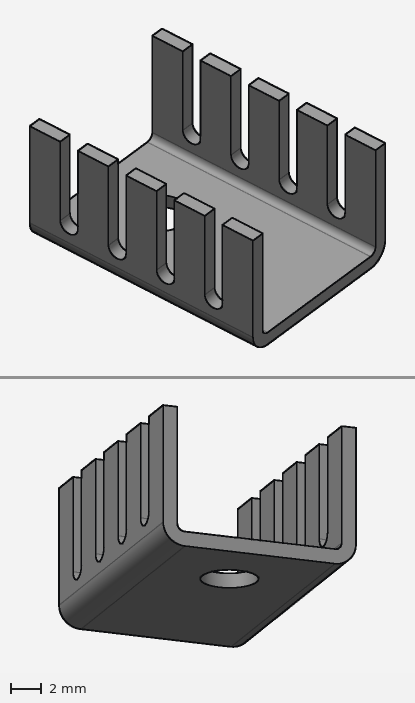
import cadquery as cq

length = 19.0
width = 13.5
height = 9.5

thickness = 1.0
inner_bend_radius = 0.5
outer_bend_radius = inner_bend_radius + thickness

slot_count = 4
slot_width = 1.5
slot_bottom = 2.25
fin_width = (length - slot_count * slot_width) / (slot_count + 1)
slot_pitch = fin_width + slot_width

hole_diameter = 3.8
hole_from_end = 5.5


def make_channel():
    """U channel along X, centred in X and Y, with its underside at Z = 0."""
    outer = (
        cq.Workplane("XY")
        .box(length, width, height, centered=(True, True, False))
        .edges("|X and <Z")
        .fillet(outer_bend_radius)
    )
    inner = (
        cq.Workplane("XY")
        .workplane(offset=thickness)
        .box(length, width - 2 * thickness, height, centered=(True, True, False))
        .edges("|X and <Z")
        .fillet(inner_bend_radius)
    )
    return outer.cut(inner)


def make_slot(x_center):
    """Open-topped slot with a round bottom, crossing both walls."""
    slot_radius = slot_width / 2
    round_center = slot_bottom + slot_radius
    left = x_center - slot_radius
    right = x_center + slot_radius
    return (
        cq.Workplane("XZ")
        .moveTo(left, height)
        .lineTo(left, round_center)
        .threePointArc((x_center, slot_bottom), (right, round_center))
        .lineTo(right, height)
        .close()
        .extrude(width / 2, both=True)
    )


def make_mounting_hole():
    """Cylinder through the floor, on the centreline near the -X end."""
    return (
        cq.Workplane("XY")
        .center(hole_from_end - length / 2, 0)
        .circle(hole_diameter / 2)
        .extrude(thickness)
    )


result = make_channel().cut(make_mounting_hole())
first_slot = -slot_pitch * (slot_count - 1) / 2
for index in range(slot_count):
    result = result.cut(make_slot(first_slot + index * slot_pitch))